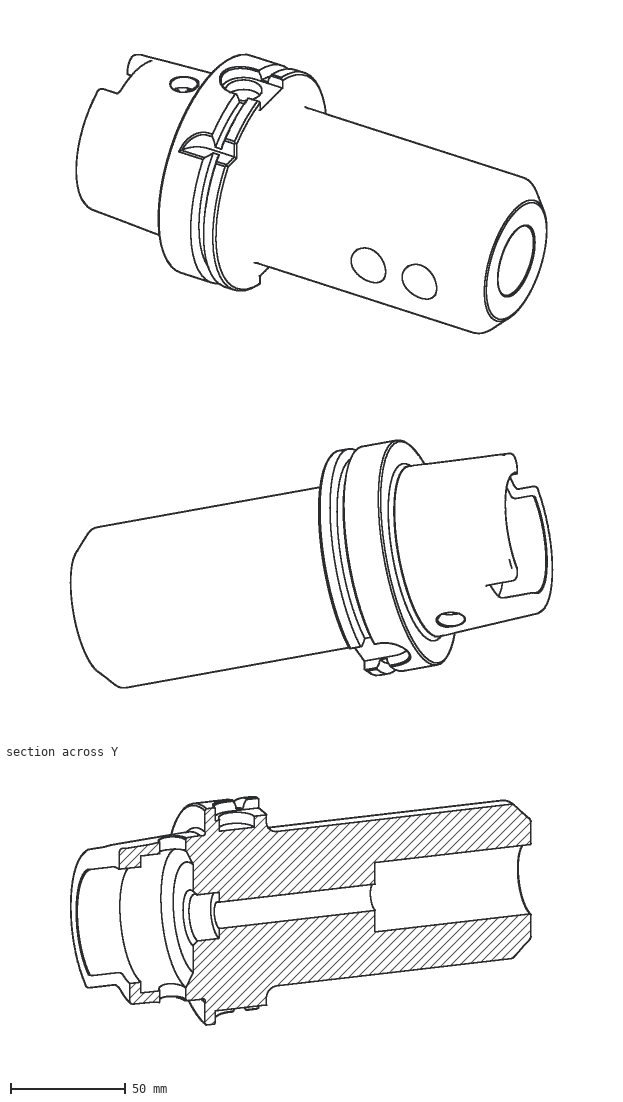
import cadquery as cq
import math

LENGTH = 202.5
TAPER_LENGTH = 50.0
TIP_X = -TAPER_LENGTH
NOSE_END = LENGTH - TAPER_LENGTH

COS_45 = math.sqrt(0.5)
TOLERANCE = 0.02

TAPER_RADIUS = 37.95
TAPER_SLOPE = 1 / 20
NECK_RADIUS = 75.5 / 2
NECK_LENGTH = 2.5
NECK_BEVEL = 0.5
UNDERCUT_RADIUS = 1.0
UNDERCUT_CENTRE_X = -0.8
TIP_ROUNDING = 2.2

FLANGE_RADIUS = 100.0 / 2
FLANGE_WIDTH = 29.0
FLANGE_FRONT_CHAMFER = 0.8
FLANGE_BACK_CHAMFER = 1.0
GROOVE_CENTRE = 20.0
GROOVE_FLOOR_RADIUS = 45.7
GROOVE_FLOOR_WIDTH = 3.0
GROOVE_MOUTH_WIDTH = 6.5
GROOVE_WAIST_WIDTH = 4.0
GROOVE_BEVEL_DEPTH = 2.5

NOSE_RADIUS = 71.5 / 2
NOSE_FILLET = 4.9
NOSE_CHAMFER = 8.5
NOSE_BLEND = 2.0
NOSE_END_CHAMFER = 0.6

MOUTH_RADIUS = 53.0 / 2
MOUTH_DEPTH = 20.2
MOUTH_CHAMFER = 0.5
CAVITY_RADIUS = 63.0 / 2
CAVITY_DEPTH = 44.5
FLOOR_RADIUS = 24.9
SEAT_RADIUS = 21.0 / 2
SEAT_MOUTH_RADIUS = 12.5
SEAT_DEPTH = 12.1
COOLANT_RADIUS = 12.0 / 2
TOOL_BORE_RADIUS = 31.8 / 2
TOOL_BORE_MOUTH_RADIUS = 32.8 / 2
TOOL_BORE_DEPTH = 72.9

SCREW_HOLE_COUNT = 2
SCREW_HOLE_DIAMETER = 17.5
SCREW_HOLE_FROM_END = 28.5
SCREW_HOLE_SPACING = 25.7

CROSS_HOLE_DIAMETER = 12.0
CROSS_HOLE_X = 35.0 - TAPER_LENGTH
CROSS_HOLE_CHAMFER = 0.5

DRIVE_HALF_WIDTH = 10.1
DRIVE_SHOULDER_Z = 31.8
DRIVE_SHOULDER_RADIUS = 6.0
DRIVE_FLOOR_FILLET = 1.72
DRIVE_DEPTH_TOP = 10.1
DRIVE_DEPTH_BOTTOM = 15.0
DRIVE_MOUTH_ROUNDING = 1.6

KEYWAY_RADIUS = 10.0
KEYWAY_CENTRE_X = 15.0
KEYWAY_FLOOR = 44.0
KEYWAY_CHAMFER = 0.6
NOTCH_BACK_CHAMFER = 0.8
CHIP_HOLE_DIAMETER = 16.0
CHIP_HOLE_DEPTH = 5.0
NOTCH_WALL_Y = -31.2
NOTCH_FLOOR_Z = 31.5


def lies_at_x(edge, x):
    box = edge.BoundingBox()
    return max(abs(box.xmin - x), abs(box.xmax - x)) < TOLERANCE


def half_turn(shape):
    return shape.rotate((0, 0, 0), (1, 0, 0), 180)


def turned_body():
    """Outer shape before any hole or slot, revolved about the spindle axis."""
    bevel_radius = FLANGE_RADIUS - GROOVE_BEVEL_DEPTH
    mouth_half = GROOVE_MOUTH_WIDTH / 2
    waist_half = GROOVE_WAIST_WIDTH / 2
    floor_half = GROOVE_FLOOR_WIDTH / 2
    tip_radius = TAPER_RADIUS - (TAPER_LENGTH - NECK_LENGTH) * TAPER_SLOPE
    undercut_reach = math.sqrt(UNDERCUT_RADIUS**2 - UNDERCUT_CENTRE_X**2)
    undercut_centre_radius = NECK_RADIUS + UNDERCUT_RADIUS
    fillet_sag = NOSE_FILLET * (1 - COS_45)
    nose_shoulder_x = NOSE_END - NOSE_CHAMFER
    profile = (
        cq.Workplane("XY")
        .moveTo(TIP_X, 0)
        .lineTo(TIP_X, tip_radius)
        .lineTo(-NECK_LENGTH, TAPER_RADIUS)
        .lineTo(NECK_BEVEL - NECK_LENGTH, NECK_RADIUS)
        .lineTo(UNDERCUT_CENTRE_X, NECK_RADIUS)
        .threePointArc(
            (UNDERCUT_CENTRE_X + UNDERCUT_RADIUS, undercut_centre_radius),
            (0, undercut_centre_radius + undercut_reach),
        )
        .lineTo(0, FLANGE_RADIUS - FLANGE_FRONT_CHAMFER)
        .lineTo(FLANGE_FRONT_CHAMFER, FLANGE_RADIUS)
        .lineTo(GROOVE_CENTRE - mouth_half, FLANGE_RADIUS)
        .lineTo(GROOVE_CENTRE - waist_half, bevel_radius)
        .lineTo(GROOVE_CENTRE - floor_half, GROOVE_FLOOR_RADIUS)
        .lineTo(GROOVE_CENTRE + floor_half, GROOVE_FLOOR_RADIUS)
        .lineTo(GROOVE_CENTRE + waist_half, bevel_radius)
        .lineTo(GROOVE_CENTRE + mouth_half, FLANGE_RADIUS)
        .lineTo(FLANGE_WIDTH - FLANGE_BACK_CHAMFER, FLANGE_RADIUS)
        .lineTo(FLANGE_WIDTH, FLANGE_RADIUS - FLANGE_BACK_CHAMFER)
        .lineTo(FLANGE_WIDTH, NOSE_RADIUS + NOSE_FILLET)
        .threePointArc(
            (FLANGE_WIDTH + fillet_sag, NOSE_RADIUS + fillet_sag),
            (FLANGE_WIDTH + NOSE_FILLET, NOSE_RADIUS),
        )
        .lineTo(nose_shoulder_x, NOSE_RADIUS)
        .lineTo(NOSE_END, NOSE_RADIUS - NOSE_CHAMFER)
        .lineTo(NOSE_END, 0)
        .close()
    )
    body = profile.revolve(360, (0, 0, 0), (1, 0, 0))
    shoulder = [e for e in body.edges().vals() if lies_at_x(e, nose_shoulder_x)]
    body = body.newObject(shoulder).fillet(NOSE_BLEND)
    return body.faces(">X").edges().chamfer(NOSE_END_CHAMFER)


def stepped_bore():
    """Bore through the axis: clamping cavity, coolant seat, coolant hole and tool bore."""
    step_x = TIP_X + MOUTH_DEPTH
    floor_x = TIP_X + CAVITY_DEPTH
    seat_x = floor_x + SEAT_DEPTH
    tool_x = NOSE_END - TOOL_BORE_DEPTH
    mouth_bevel = TOOL_BORE_MOUTH_RADIUS - TOOL_BORE_RADIUS
    points = [
        (TIP_X, 0),
        (TIP_X, MOUTH_RADIUS + MOUTH_CHAMFER),
        (TIP_X + MOUTH_CHAMFER, MOUTH_RADIUS),
        (step_x, MOUTH_RADIUS),
        (step_x, CAVITY_RADIUS),
        (floor_x - (CAVITY_RADIUS - FLOOR_RADIUS) / 2, CAVITY_RADIUS),
        (floor_x, FLOOR_RADIUS),
        (floor_x, SEAT_MOUTH_RADIUS),
        (floor_x + SEAT_MOUTH_RADIUS - SEAT_RADIUS, SEAT_RADIUS),
        (seat_x, SEAT_RADIUS),
        (seat_x, COOLANT_RADIUS),
        (tool_x, COOLANT_RADIUS),
        (tool_x, TOOL_BORE_RADIUS),
        (NOSE_END - mouth_bevel, TOOL_BORE_RADIUS),
        (NOSE_END, TOOL_BORE_MOUTH_RADIUS),
        (NOSE_END, 0),
    ]
    return cq.Workplane("XY").polyline(points).close().revolve(360, (0, 0, 0), (1, 0, 0))


def drive_slot(depth):
    """Slot across the upper half of the tip, its walls flaring outwards over rounded shoulders."""
    reach = TAPER_RADIUS + DRIVE_MOUTH_ROUNDING
    wall_y = DRIVE_HALF_WIDTH
    flat_y = DRIVE_HALF_WIDTH + DRIVE_SHOULDER_RADIUS
    sag = DRIVE_SHOULDER_RADIUS * (1 - COS_45)
    arc_start_z = DRIVE_SHOULDER_Z - DRIVE_SHOULDER_RADIUS
    arc_middle_z = DRIVE_SHOULDER_Z - sag
    tool = (
        cq.Workplane("YZ", origin=(TIP_X, 0, 0))
        .moveTo(-wall_y, 0)
        .lineTo(-wall_y, arc_start_z)
        .threePointArc((-wall_y - sag, arc_middle_z), (-flat_y, DRIVE_SHOULDER_Z))
        .lineTo(-reach, DRIVE_SHOULDER_Z)
        .lineTo(-reach, reach)
        .lineTo(reach, reach)
        .lineTo(reach, DRIVE_SHOULDER_Z)
        .lineTo(flat_y, DRIVE_SHOULDER_Z)
        .threePointArc((wall_y + sag, arc_middle_z), (wall_y, arc_start_z))
        .lineTo(wall_y, 0)
        .close()
        .extrude(depth)
    )
    return tool.faces(">X").edges().fillet(DRIVE_FLOOR_FILLET)


def cut_drive_slots(body):
    """Cut both slots into the rounded tip and round their mouths, which lie nearer to Y = 0 than its rim."""
    body = body.faces("<X").edges().fillet(TIP_ROUNDING)
    body = body.cut(drive_slot(DRIVE_DEPTH_TOP)).cut(half_turn(drive_slot(DRIVE_DEPTH_BOTTOM)))
    rim_y = 2 * DRIVE_HALF_WIDTH
    mouths = [e for e in body.faces("<X").edges().vals() if abs(e.positionAt(0.5).y) < rim_y]
    return body.newObject(mouths).fillet(DRIVE_MOUTH_ROUNDING)


def keyway():
    """Upper keyway: a straight run with a round end, open towards the nose."""
    run = FLANGE_WIDTH + NOSE_FILLET - KEYWAY_CENTRE_X
    plane = cq.Workplane("XY", origin=(KEYWAY_CENTRE_X, 0, KEYWAY_FLOOR))
    end = plane.circle(KEYWAY_RADIUS).extrude(FLANGE_RADIUS)
    straight = plane.center(run / 2, 0).rect(run, 2 * KEYWAY_RADIUS).extrude(FLANGE_RADIUS)
    return end.union(straight)


def index_notch():
    """The keyway's shape again, set lower and to the -Y side so that it opens sideways."""
    return keyway().translate((0, NOTCH_WALL_Y - KEYWAY_RADIUS, NOTCH_FLOOR_Z - KEYWAY_FLOOR))


def is_slot_rim(edge):
    """True for an edge that a keyway or the notch leaves on the flange's outer cylinder."""
    points = edge.positions([0, 0.5, 1])
    on_cylinder = all(abs(math.hypot(p.y, p.z) - FLANGE_RADIUS) < TOLERANCE for p in points)
    runs_along_x = edge.BoundingBox().xlen > TOLERANCE
    away_from_seam = abs(points[1].z) > KEYWAY_RADIUS
    return on_cylinder and runs_along_x and away_from_seam


def is_notch_back(edge):
    """True for the two straight edges where the notch leaves the flange's back face."""
    beside_keyways = edge.Center().y < -KEYWAY_RADIUS - KEYWAY_CHAMFER
    return edge.geomType() == "LINE" and lies_at_x(edge, FLANGE_WIDTH) and beside_keyways


def cut_flange_slots(body):
    body = body.cut(keyway()).cut(half_turn(keyway())).cut(index_notch())
    rims = [e for e in body.edges().vals() if is_slot_rim(e)]
    body = body.newObject(rims).chamfer(KEYWAY_CHAMFER)
    notch_back = [e for e in body.edges().vals() if is_notch_back(e)]
    body = body.newObject(notch_back).chamfer(NOTCH_BACK_CHAMFER)
    chip_hole = (
        cq.Workplane("XY", origin=(KEYWAY_CENTRE_X, 0, KEYWAY_FLOOR))
        .circle(CHIP_HOLE_DIAMETER / 2)
        .extrude(-CHIP_HOLE_DEPTH)
    )
    return body.cut(chip_hole)


def cut_screw_holes(body):
    """Holes from the -Y side into the tool bore."""
    for index in range(SCREW_HOLE_COUNT):
        x = NOSE_END - SCREW_HOLE_FROM_END - index * SCREW_HOLE_SPACING
        hole = cq.Workplane("XZ", origin=(x, 0, 0)).circle(SCREW_HOLE_DIAMETER / 2).extrude(FLANGE_RADIUS)
        body = body.cut(hole)
    return body


def cross_hole():
    """Hole along Z through both walls of the taper, with a conical mouth at each outer end."""
    radius = CROSS_HOLE_DIAMETER / 2
    surface_radius = TAPER_RADIUS + CROSS_HOLE_X * TAPER_SLOPE
    hole = (
        cq.Workplane("XY", origin=(CROSS_HOLE_X, 0, -FLANGE_RADIUS))
        .circle(radius)
        .extrude(2 * FLANGE_RADIUS)
    )
    mouth = (
        cq.Workplane("XZ", origin=(CROSS_HOLE_X, 0, 0))
        .moveTo(0, surface_radius - CROSS_HOLE_CHAMFER)
        .lineTo(radius, surface_radius - CROSS_HOLE_CHAMFER)
        .lineTo(radius + CROSS_HOLE_CHAMFER, surface_radius)
        .lineTo(0, surface_radius)
        .close()
        .revolve(360, (0, 0, 0), (0, 1, 0))
    )
    return hole.union(mouth).union(half_turn(mouth))


holder = cut_flange_slots(turned_body())
holder = cut_drive_slots(holder).cut(stepped_bore())
holder = cut_screw_holes(holder)
result = holder.cut(cross_hole())